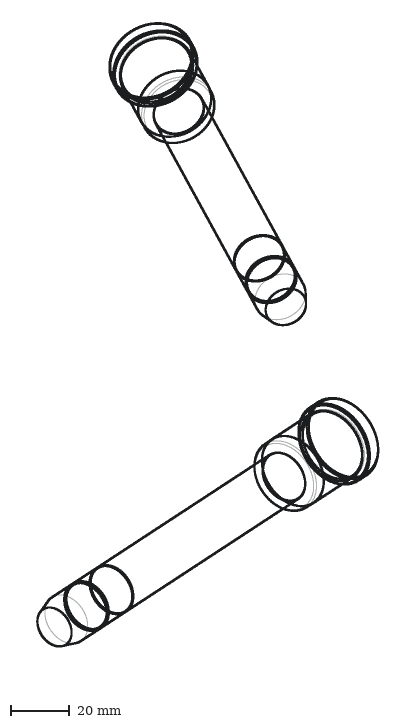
import cadquery as cq

total_length = 171.0

head_diameter = 30.0
head_length = 6.0
head_chamfer = 0.5

body_diameter = 26.0
body_end = 34.9
body_round = 0.7
lead_in_diameter = 25.8
lead_in_length = 5.0

shank_diameter = 18.0
tip_length = 7.0
tip_diameter = 14.4

neck_groove_width = 1.0
root_groove_width = 0.3
rear_groove_start = 137.0
rear_groove_width = 0.5
front_groove_start = 151.5
front_groove_width = 1.0


def cylinder(start, end, diameter):
    """Solid cylinder on the X axis between two stations."""
    return cq.Workplane("YZ", origin=(start, 0, 0)).circle(diameter / 2).extrude(end - start)


def groove_cutter(start, width, diameter):
    """Ring that cuts a half-round groove into a cylinder of the given diameter."""
    radius = diameter / 2
    depth = width / 2
    outer_radius = radius + depth
    return (
        cq.Workplane("XY")
        .moveTo(start, outer_radius)
        .lineTo(start, radius)
        .threePointArc((start + width / 2, radius - depth), (start + width, radius))
        .lineTo(start + width, outer_radius)
        .close()
        .revolve(360, (0, 0, 0), (1, 0, 0))
    )


def make_head():
    return cylinder(0, head_length, head_diameter).edges().chamfer(head_chamfer)


def make_body():
    lead_in_start = body_end - lead_in_length
    barrel = cylinder(head_length, lead_in_start, body_diameter)
    lead_in = cylinder(lead_in_start, body_end, lead_in_diameter)
    lead_in = lead_in.faces(">X").edges().fillet(body_round)
    neck_groove = groove_cutter(head_length, neck_groove_width, body_diameter)
    return barrel.cut(neck_groove).union(lead_in)


def make_shank():
    tip_start = total_length - tip_length
    shank = cylinder(body_end, tip_start, shank_diameter)
    tip = (
        cq.Workplane("YZ", origin=(tip_start, 0, 0))
        .circle(shank_diameter / 2)
        .workplane(offset=tip_length)
        .circle(tip_diameter / 2)
        .loft()
    )
    shank = shank.union(tip)
    grooves = [
        (body_end, root_groove_width),
        (rear_groove_start, rear_groove_width),
        (front_groove_start, front_groove_width),
    ]
    for start, width in grooves:
        shank = shank.cut(groove_cutter(start, width, shank_diameter))
    return shank


result = make_head().union(make_body()).union(make_shank())